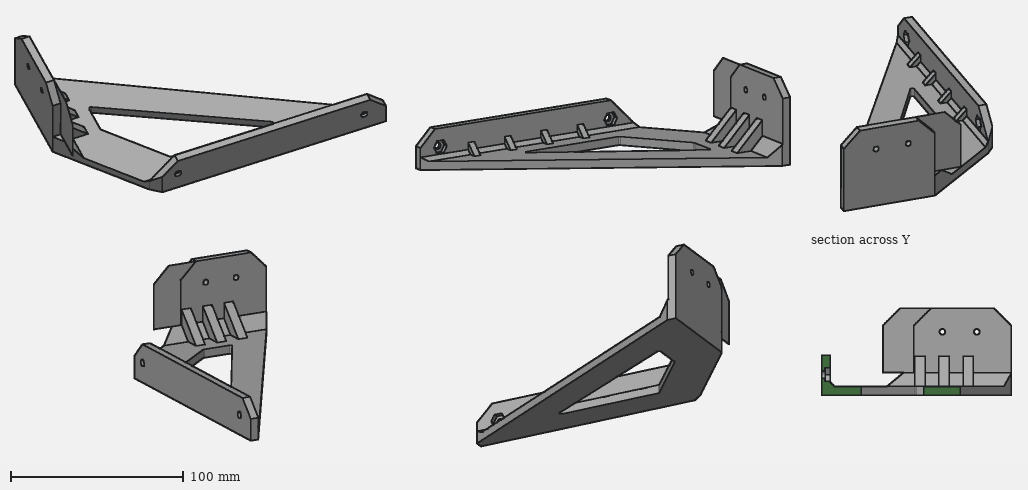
import cadquery as cq
import math

total_width = 110.0
total_length = 187.5
total_height = 50.52
base_thickness = 5.2

plate_width = 56.5
plate_thickness = 5.0
corner_cut = 10.0
plate_hole_diameter = 3.2
plate_hole_height = 36.8
plate_hole_xs = (20.0, 40.0)

skin_width = 74.5
skin_thickness = 0.1

wall_thickness = 5.0
wall_height = 23.3
wall_inner_x = total_width - wall_thickness
wall_front_y = 33.0
wall_hole_diameter = 4.0
wall_hole_height = 12.0
wall_hole_ys = (56.5, 173.7)
nut_across_flats = 7.7
nut_pocket_depth = 3.0

left_edge_y = 5.5
front_slant_end_y = 40.3
wall_end_y = 46.6

window_front_y = 30.6
window_left_x = 36.6
window_front_right_x = 55.6
window_right_x = 90.8
window_right_front_y = 59.8
window_back_y = 128.2
window_corner_radius = 1.2

front_fillet_leg = 8.0
front_rib_leg = 17.5
front_rib_width = 6.0
front_rib_pitch = 14.0
front_rib_first_x = 25.0
front_rib_count = 3
wall_fillet_leg = 2.5
wall_rib_leg = 6.7
wall_rib_width = 4.2
wall_rib_pitch = 25.0
wall_rib_first_y = 77.5
wall_rib_count = 4

fillet_top = base_thickness + front_fillet_leg


def plan_prism(height):
    """Upright prism over the whole plan outline."""
    return (
        cq.Workplane("XY")
        .moveTo(0, 0)
        .lineTo(plate_width, 0)
        .lineTo(wall_inner_x, front_slant_end_y)
        .lineTo(total_width, wall_end_y)
        .lineTo(total_width, total_length)
        .lineTo(wall_inner_x, total_length)
        .lineTo(0, left_edge_y)
        .close()
        .extrude(height)
    )


def clipped_panel(width, bottom, front_y, thickness):
    """Panel parallel to XZ with both top corners cut at 45 degrees."""
    shoulder = total_height - corner_cut
    return (
        cq.Workplane("XZ", origin=(0, front_y, 0))
        .moveTo(0, bottom)
        .lineTo(width, bottom)
        .lineTo(width, shoulder)
        .lineTo(width - corner_cut, total_height)
        .lineTo(corner_cut, total_height)
        .lineTo(0, shoulder)
        .close()
        .extrude(-thickness)
    )


def front_wedge(leg, start_x, width):
    """Sloped block behind the front plate, running through it to the front face."""
    return (
        cq.Workplane("YZ", origin=(start_x, 0, 0))
        .moveTo(0, 0)
        .lineTo(plate_thickness + leg, 0)
        .lineTo(plate_thickness + leg, base_thickness)
        .lineTo(plate_thickness, base_thickness + leg)
        .lineTo(0, base_thickness + leg)
        .close()
        .extrude(width)
    )


def wall_wedge(leg, start_y, length):
    """Sloped block along the inner face of the side wall."""
    return (
        cq.Workplane("XZ", origin=(0, start_y, 0))
        .moveTo(wall_inner_x - leg, 0)
        .lineTo(wall_inner_x, 0)
        .lineTo(wall_inner_x, base_thickness + leg)
        .lineTo(wall_inner_x - leg, base_thickness)
        .close()
        .extrude(-length)
    )


def side_wall():
    """Wall profile with a clipped back corner and a 45 degree front end."""
    return (
        cq.Workplane("YZ", origin=(wall_inner_x, 0, 0))
        .moveTo(wall_front_y, 0)
        .lineTo(total_length, 0)
        .lineTo(total_length, wall_height - corner_cut)
        .lineTo(total_length - corner_cut, wall_height)
        .lineTo(wall_front_y + wall_height, wall_height)
        .close()
        .extrude(wall_thickness)
    )


def wall_fillet():
    """Fillet along the wall, its front end on the slope of the wall's front end."""
    slope = (
        cq.Workplane("YZ")
        .moveTo(wall_front_y, 0)
        .lineTo(total_length, 0)
        .lineTo(total_length, wall_height)
        .lineTo(wall_front_y + wall_height, wall_height)
        .close()
        .extrude(total_width)
    )
    return wall_wedge(wall_fillet_leg, 0, total_length).intersect(slope)


def base_window():
    """Four-sided opening through the base with rounded corners."""
    return (
        cq.Workplane("XY")
        .moveTo(window_left_x, window_front_y)
        .lineTo(window_front_right_x, window_front_y)
        .lineTo(window_right_x, window_right_front_y)
        .lineTo(window_right_x, window_back_y)
        .close()
        .extrude(base_thickness)
        .edges("|Z")
        .fillet(window_corner_radius)
    )


def plate_holes():
    """Round holes through the front plate and its skin."""
    return (
        cq.Workplane("XZ")
        .pushPoints([(x, plate_hole_height) for x in plate_hole_xs])
        .circle(plate_hole_diameter / 2)
        .extrude(-(plate_thickness + skin_thickness))
    )


def wall_holes():
    """Round holes through the side wall, each with a hexagonal nut pocket inside."""
    centres = [(y, wall_hole_height) for y in wall_hole_ys]
    nut_across_corners = nut_across_flats / math.cos(math.pi / 6)
    face = cq.Workplane("YZ", origin=(wall_inner_x, 0, 0)).pushPoints(centres)
    holes = face.circle(wall_hole_diameter / 2).extrude(wall_thickness)
    pockets = face.polygon(6, nut_across_corners).extrude(nut_pocket_depth)
    return holes.union(pockets)


body = plan_prism(base_thickness)
body = body.union(front_wedge(front_fillet_leg, 0, total_width))
body = body.union(side_wall()).union(wall_fillet())
body = body.intersect(plan_prism(total_height))

body = body.union(clipped_panel(plate_width, 0, 0, plate_thickness))
body = body.union(clipped_panel(skin_width, fillet_top, plate_thickness, skin_thickness))

for index in range(front_rib_count):
    rib_x = front_rib_first_x + index * front_rib_pitch - front_rib_width / 2
    body = body.union(front_wedge(front_rib_leg, rib_x, front_rib_width))
for index in range(wall_rib_count):
    rib_y = wall_rib_first_y + index * wall_rib_pitch - wall_rib_width / 2
    body = body.union(wall_wedge(wall_rib_leg, rib_y, wall_rib_width))

result = body.cut(base_window()).cut(plate_holes()).cut(wall_holes())